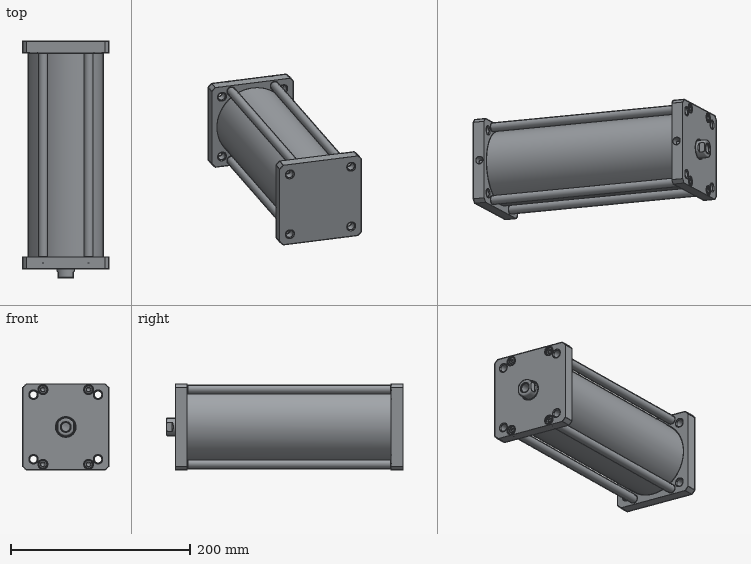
import cadquery as cq
import math


plate_width = 96.0
plate_thickness = 13.2
plate_corner_diameter = 130.0
body_length = 254.0
tube_start = plate_thickness
tube_end = body_length - plate_thickness

tube_outer_diameter = 84.0
tube_inner_diameter = 80.0
tube_rear_chamfer = 0.5

rod_diameter = 20.0
rod_tip = -10.0
rod_tip_fillet = 1.7
rod_flat_width = 17.0
rod_flat_length = 6.3
rod_bore_diameter = 10.11
rod_bore_mouth_diameter = 12.0
rod_bore_depth = 20.0
rod_bore_tip_height = 0.7

wiper_seat_diameter = 20.6
wiper_seat_depth = 2.0
wiper_countersink_inner_diameter = 21.9
wiper_countersink_outer_diameter = 23.0

mount_hole_pitch = 72.0
mount_hole_diameter = 8.38
mount_hole_mouth_diameter = 10.5

tie_rod_pitch_x = 51.0
tie_rod_pitch_z = 83.4
tie_rod_diameter = 10.0
tie_rod_shank_diameter = 6.9
tie_rod_head_length = 6.0
counterbore_diameter = 10.5
counterbore_mouth_diameter = 11.0
tie_rod_recess = 0.5
counterbore_depth = tie_rod_recess + tie_rod_head_length
tie_rod_end_chamfer = 0.6
socket_width = 5.0
socket_depth = 3.0
socket_turn = 30.0
socket_tip_height = 1.5

port_diameter = 8.57
port_depth = 15.0
port_tip_height = 2.5
port_inset = 7.5
port_bar_diameter = 5.0
port_bar_depth = 12.0

Y_AXIS = cq.Vector(0, 1, 0)
X_AXIS = cq.Vector(1, 0, 0)


def cylinder_y(diameter, start, end, x=0.0, z=0.0):
    """Cylinder along Y between two Y positions."""
    return cq.Workplane(cq.Solid.makeCylinder(diameter / 2, end - start, cq.Vector(x, start, z), Y_AXIS))


def cone_y(start_diameter, end_diameter, start, end, x=0.0, z=0.0):
    """Cone along Y whose diameter changes from the start to the end."""
    base = cq.Vector(x, start, z)
    return cq.Workplane(cq.Solid.makeCone(start_diameter / 2, end_diameter / 2, end - start, base, Y_AXIS))


def mouth_chamfer(mouth_diameter, hole_diameter, face, inward, x=0.0, z=0.0):
    """45 degree chamfer of a hole mouth; inward is +1 or -1 along Y."""
    depth = (mouth_diameter - hole_diameter) / 2
    if inward > 0:
        return cone_y(mouth_diameter, hole_diameter, face, face + depth, x, z)
    return cone_y(hole_diameter, mouth_diameter, face - depth, face, x, z)


def rectangle_corners(pitch_x, pitch_z):
    return [(side_x * pitch_x / 2, side_z * pitch_z / 2) for side_x in (-1, 1) for side_z in (-1, 1)]


tie_rod_places = rectangle_corners(tie_rod_pitch_x, tie_rod_pitch_z)
mount_hole_places = rectangle_corners(mount_hole_pitch, mount_hole_pitch)


def make_port(center_y):
    """Drilled port with a conical floor, leaving the bar that crosses it."""
    mouth = cq.Vector(-plate_width / 2, center_y, 0)
    floor = mouth + X_AXIS * port_depth
    bore = cq.Workplane(cq.Solid.makeCylinder(port_diameter / 2, port_depth, mouth, X_AXIS))
    drill_tip = cq.Solid.makeCone(port_diameter / 2, 0, port_tip_height, floor, X_AXIS)
    bar = cylinder_y(port_bar_diameter, center_y - port_diameter, center_y + port_diameter,
                     x=-plate_width / 2 + port_bar_depth)
    return bore.union(cq.Workplane(drill_tip)).cut(bar)


def make_plate(start, port_y):
    """Plate with rounded corners, mounting holes and an air port."""
    end = start + plate_thickness
    plate = cq.Workplane("XY").box(plate_width, plate_thickness, plate_width)
    plate = plate.translate((0, start + plate_thickness / 2, 0))
    plate = plate.intersect(cylinder_y(plate_corner_diameter, start, end))
    for x, z in mount_hole_places:
        plate = plate.cut(cylinder_y(mount_hole_diameter, start, end, x, z))
        for face, inward in ((start, 1), (end, -1)):
            plate = plate.cut(
                mouth_chamfer(mount_hole_mouth_diameter, mount_hole_diameter, face, inward, x, z))
    return plate.cut(make_port(port_y))


def make_front_plate():
    plate = make_plate(0, port_inset)
    plate = plate.cut(cylinder_y(rod_diameter, 0, plate_thickness))
    plate = plate.cut(cylinder_y(wiper_seat_diameter, 0, wiper_seat_depth))
    plate = plate.cut(
        mouth_chamfer(wiper_countersink_outer_diameter, wiper_countersink_inner_diameter, 0, 1))
    for x, z in tie_rod_places:
        plate = plate.cut(cylinder_y(tie_rod_shank_diameter, 0, plate_thickness, x, z))
        plate = plate.cut(cylinder_y(counterbore_diameter, 0, counterbore_depth, x, z))
        plate = plate.cut(mouth_chamfer(counterbore_mouth_diameter, counterbore_diameter, 0, 1, x, z))
    return plate


def make_tube():
    tube = cylinder_y(tube_outer_diameter, tube_start, tube_end).faces(">Y").chamfer(tube_rear_chamfer)
    return tube.cut(cylinder_y(tube_inner_diameter, tube_start, tube_end))


def make_rod():
    """Piston rod with a drilled tip and two wrench flats that run out at 45 degrees."""
    rod = cylinder_y(rod_diameter, rod_tip, tube_end).faces("<Y").edges().fillet(rod_tip_fillet)
    bore_end = rod_tip + rod_bore_depth
    rod = rod.cut(cylinder_y(rod_bore_diameter, rod_tip, bore_end))
    rod = rod.cut(cone_y(rod_bore_diameter, 0, bore_end, bore_end + rod_bore_tip_height))
    rod = rod.cut(mouth_chamfer(rod_bore_mouth_diameter, rod_bore_diameter, rod_tip, 1))
    flat_x = rod_flat_width / 2
    outer_x = rod_diameter / 2
    flat_end = rod_tip + rod_flat_length
    for side in (-1, 1):
        outline = [
            (side * flat_x, rod_tip),
            (side * flat_x, flat_end),
            (side * outer_x, flat_end + outer_x - flat_x),
            (side * outer_x, rod_tip),
        ]
        rod = rod.cut(cq.Workplane("XY").polyline(outline).close().extrude(rod_diameter, both=True))
    return rod


def make_tie_rod(x, z):
    """Tie rod with a hexagon socket in its front end."""
    start = tie_rod_recess
    head = cylinder_y(tie_rod_diameter, start, counterbore_depth, x, z)
    head = head.faces("<Y").chamfer(tie_rod_end_chamfer)
    shank = cylinder_y(tie_rod_shank_diameter, counterbore_depth, tube_start, x, z)
    body = cylinder_y(tie_rod_diameter, tube_start, tube_end, x, z)
    body = body.faces("<Y or >Y").chamfer(tie_rod_end_chamfer)
    rod = head.union(shank).union(body)
    socket = (
        cq.Workplane("XZ")
        .polygon(6, socket_width / math.cos(math.pi / 6))
        .extrude(-socket_depth)
        .rotate((0, 0, 0), (0, 1, 0), socket_turn)
        .translate((x, start, z))
    )
    socket_end = start + socket_depth
    socket_tip = cone_y(socket_width, 0, socket_end, socket_end + socket_tip_height, x, z)
    return rod.cut(socket).cut(socket_tip)


front_plate = make_front_plate()
rear_plate = make_plate(tube_end, body_length - port_inset)
tube = make_tube()
piston_rod = make_rod()
tie_rods = [make_tie_rod(x, z) for x, z in tie_rod_places]

result = cq.Compound.makeCompound([
    front_plate.val(),
    rear_plate.val(),
    tube.val(),
    piston_rod.val(),
    *[tie_rod.val() for tie_rod in tie_rods],
])